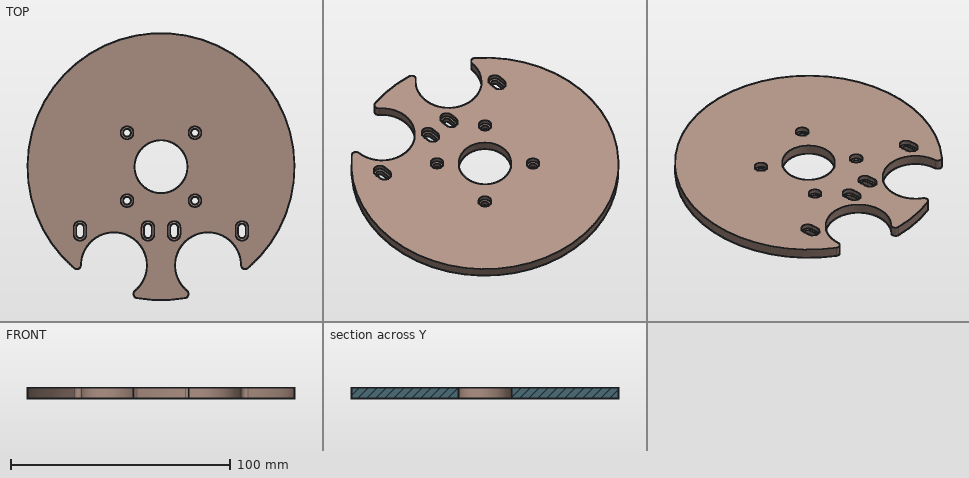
import cadquery as cq

disc_diameter = 122.0
thickness = 5.0
center_bore_diameter = 24.0

bay_diameter = 30.0
bay_x = 21.5
bay_y = -45.0
tip_radius = 2.0

hole_diameter = 3.4
recess_diameter = 5.9
recess_depth = 2.5
hole_spacing = 31.0
slot_travel = 3.0
slot_y = -29.3


def make_disc():
    """Disc with a central bore and two rim bays with rounded tips."""
    disc = cq.Workplane("XY").circle(disc_diameter / 2).extrude(thickness)
    bays = (
        cq.Workplane("XY")
        .pushPoints([(-bay_x, bay_y), (bay_x, bay_y)])
        .circle(bay_diameter / 2)
        .extrude(thickness)
    )
    disc = disc.cut(bays)
    mouth_region = cq.selectors.BoxSelector(
        (-disc_diameter / 2, -disc_diameter / 2, 0),
        (disc_diameter / 2, bay_y - tip_radius, thickness),
    )
    tips = disc.edges("|Z").edges(mouth_region)
    disc = tips.fillet(tip_radius)
    bore = cq.Workplane("XY").circle(center_bore_diameter / 2).extrude(thickness)
    return disc.cut(bore)


def cut_recessed_holes(body, points):
    """Cut through holes with flat-bottomed recesses in the top face."""
    top = body.faces(">Z").workplane(origin=(0, 0, thickness))
    return top.pushPoints(points).cboreHole(hole_diameter, recess_diameter, recess_depth)


def cut_recessed_slots(body, points):
    """Cut through slots along Y with wider recesses in the top face."""
    for width, depth in ((hole_diameter, thickness), (recess_diameter, recess_depth)):
        cutter = (
            cq.Workplane("XY", origin=(0, 0, thickness))
            .pushPoints(points)
            .slot2D(slot_travel + width, width, 90)
            .extrude(-depth)
        )
        body = body.cut(cutter)
    return body


hole_offset = hole_spacing / 2
hole_points = [(sx * hole_offset, sy * hole_offset) for sx in (-1, 1) for sy in (-1, 1)]

slot_points = [
    (bay_side * bay_x + slot_side * hole_offset, slot_y)
    for bay_side in (-1, 1)
    for slot_side in (-1, 1)
]

result = make_disc()
result = cut_recessed_holes(result, hole_points)
result = cut_recessed_slots(result, slot_points)